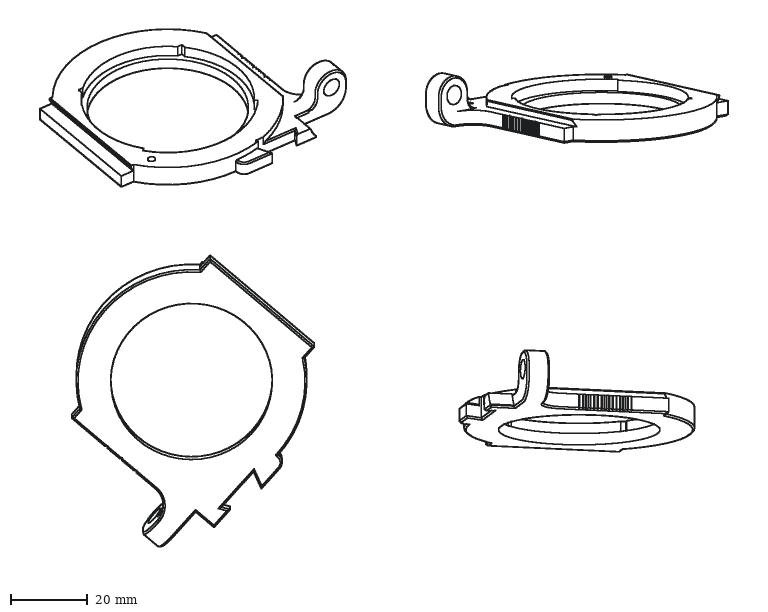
import cadquery as cq
import math

ring_diameter = 60.0
ring_radius = ring_diameter / 2
ring_height = 6.0
bore_diameter = 42.0
pocket_radius = 22.5
wide_pocket_radius = 23.5
wide_pocket_half_angle = 52.0
pocket_depth = 3.0
pocket_notch_half_size = 16.6

plate_height = 4.0
edge_chamfer = 0.5
rail_half_length = 18.0
rail_y = 28.0
scale_edge_left = -17.0

flank_top_y = 24.7
flank_tip_y = 25.0
flank_tip_drop = 0.3
flank_angle = 25.0

scale_length = 14.0
notch_count_each_side = 7
notches_per_long = 5
short_notch_depth = 0.2
long_notch_depth = 0.6
notch_angle = 60.0

lug_radius = 5.0
lug_bore_diameter = 5.0
lug_height = 13.5
lug_tip_y = 40.3
lug_left = 17.95
lug_width = 6.0
lug_heel_radius = 6.0
lug_root_radius = 3.0
web_radius = 6.0

arm_right = 30.3
arm_back_y = 25.8
knuckle_clearance_radius = 12.3
slot_wall_x = 28.2
arm_hook_root_y = 20.4
low_hook_root_y = 7.8
hook_angle = 25.0
hook_chamfer = 0.4
hook_reach = 2.7
hook_bottom_y = 0.1
hook_round = 2.6

dimple_diameter = 2.0
dimple_x = 18.85
dimple_y = -18.85

notch_pitch = scale_length / (2 * notch_count_each_side)
half_arc = math.sqrt(0.5)
lug_right = lug_left + lug_width
lug_y = lug_tip_y - lug_radius
lug_z = lug_height - lug_radius
lug_front_y = lug_y - lug_radius
lug_foot_y = lug_y - math.sqrt(knuckle_clearance_radius**2 - (lug_z - plate_height)**2)
hook_right = ring_radius + hook_reach


def block(x0, x1, y0, y1, height):
    """Box between the given X and Y limits, standing on Z = 0."""
    return cq.Workplane("XY").box(x1 - x0, y1 - y0, height, centered=False).translate((x0, y0, 0))


def web_outline():
    """Concave corner joining the scale edge to the left side of the lug."""
    corner_x = lug_left - web_radius
    corner_y = rail_y + web_radius
    reach = web_radius * half_arc
    return (
        cq.Workplane("XY")
        .moveTo(corner_x, rail_y)
        .threePointArc((corner_x + reach, corner_y - reach), (lug_left, corner_y))
        .lineTo(lug_right, corner_y)
        .lineTo(lug_right, rail_y)
        .close()
    )


def slot_outline():
    """Open slot beside the ring, flanked by the sloping faces of both hooks."""
    mouth_x = hook_right + hook_reach
    mouth_rise = (mouth_x - slot_wall_x) * math.tan(math.radians(hook_angle))
    return cq.Workplane("XY").polyline([
        (slot_wall_x, low_hook_root_y),
        (slot_wall_x, arm_hook_root_y),
        (mouth_x, arm_hook_root_y - mouth_rise),
        (mouth_x, low_hook_root_y + mouth_rise),
    ]).close()


def footprint(height):
    """Ring disc, rails, lug foot, arm and hooks, all of one height."""
    slot_middle_y = (low_hook_root_y + arm_hook_root_y) / 2
    hook = block(0, hook_right, hook_bottom_y, slot_middle_y, height)
    hook = hook.edges("|Z and >X and <Y").fillet(hook_round)
    disc = cq.Workplane("XY").circle(ring_radius).extrude(height)
    body = disc.intersect(block(-ring_radius, ring_radius, -rail_y, rail_y, height))
    body = body.union(block(-rail_half_length, rail_half_length, -rail_y, 0, height))
    body = body.union(block(scale_edge_left, lug_right, 0, rail_y, height))
    body = body.union(web_outline().extrude(height))
    body = body.union(block(lug_left, lug_right, 0, rail_y + web_radius, height))
    body = body.union(block(0, arm_right, slot_middle_y, arm_back_y, height))
    body = body.union(hook)
    return body.cut(slot_outline().extrude(height)).clean()


def base_plate():
    """Lower layer of the part with its edge chamfers and the hollow back of the arm."""
    plate = footprint(plate_height)
    plate = plate.faces("<Z").edges().chamfer(edge_chamfer)

    margin = 0.1
    slot_zone = cq.selectors.BoxSelector(
        (slot_wall_x - margin, hook_bottom_y - margin, plate_height - margin),
        (hook_right + margin, arm_hook_root_y + margin, plate_height + margin),
    )
    plate = plate.faces(">Z").edges(slot_zone).chamfer(hook_chamfer)

    clearance = (
        cq.Workplane("YZ", origin=(lug_right, lug_y, lug_z))
        .circle(knuckle_clearance_radius)
        .extrude(arm_right - lug_right)
    )
    foot_edge = (
        cq.Workplane("XZ", origin=(0, lug_foot_y, 0))
        .polyline([
            (lug_right, plate_height),
            (lug_right - edge_chamfer, plate_height),
            (lug_right, plate_height - edge_chamfer),
        ])
        .close()
        .extrude(lug_foot_y - rail_y)
    )
    return plate.cut(clearance).cut(foot_edge)


def upper_ring():
    """Ring above the plate with undercut flanks along both straight sides."""
    lip_z = ring_height - flank_tip_drop
    root_y = flank_tip_y - (lip_z - plate_height) * math.tan(math.radians(flank_angle))
    half_profile = [
        (root_y, edge_chamfer),
        (root_y, plate_height),
        (flank_tip_y, lip_z),
        (flank_top_y, ring_height),
    ]
    mirrored = [(-y, z) for y, z in reversed(half_profile)]
    flanks = (
        cq.Workplane("YZ", origin=(-ring_radius, 0, 0))
        .polyline(half_profile + mirrored)
        .close()
        .extrude(2 * ring_radius)
    )
    disc = cq.Workplane("XY").circle(ring_radius).extrude(ring_height)
    disc = disc.cut(slot_outline().extrude(ring_height))
    front = block(-rail_half_length, rail_half_length, -rail_y, 0, ring_height)
    return disc.union(front).intersect(flanks)


def hinge_lug():
    """Rounded eye on a curved neck, chamfered along both sides."""
    heel_reach = lug_heel_radius * half_arc
    heel_y = lug_tip_y - lug_heel_radius
    root_reach = lug_root_radius * half_arc
    root_y = lug_front_y - lug_root_radius
    root_z = plate_height + lug_root_radius
    lug = (
        cq.Workplane("YZ", origin=(lug_left, 0, 0))
        .moveTo(root_y, 0)
        .lineTo(heel_y, 0)
        .threePointArc((heel_y + heel_reach, lug_heel_radius - heel_reach), (lug_tip_y, lug_heel_radius))
        .lineTo(lug_tip_y, lug_z)
        .threePointArc((lug_y, lug_height), (lug_front_y, lug_z))
        .lineTo(lug_front_y, root_z)
        .threePointArc((root_y + root_reach, root_z - root_reach), (root_y, plate_height))
        .close()
        .extrude(lug_width)
    )
    lug = lug.faces("<X or >X").edges("not <Y").chamfer(edge_chamfer)
    bore = (
        cq.Workplane("YZ", origin=(lug_left, lug_y, lug_z))
        .circle(lug_bore_diameter / 2)
        .extrude(lug_width)
    )
    return lug.cut(bore)


def ring_pocket():
    """Stepped pocket, wider on the right, with two square corner notches on the left."""
    floor = cq.Workplane("XY", origin=(0, 0, ring_height - pocket_depth))
    end_x = wide_pocket_radius * math.cos(math.radians(wide_pocket_half_angle))
    end_y = wide_pocket_radius * math.sin(math.radians(wide_pocket_half_angle))
    pocket = floor.circle(pocket_radius).extrude(pocket_depth)
    sector = (
        floor.lineTo(end_x, -end_y)
        .threePointArc((wide_pocket_radius, 0), (end_x, end_y))
        .close()
        .extrude(pocket_depth)
    )
    notches = (
        floor.center(-pocket_notch_half_size / 2, 0)
        .rect(pocket_notch_half_size, 2 * pocket_notch_half_size)
        .extrude(pocket_depth)
    )
    return pocket.union(sector).union(notches)


def scale_notches():
    """V notches of a ruler scale, centred on the ring."""
    notches = cq.Workplane("XY")
    slope = math.tan(math.radians(notch_angle / 2))
    for index in range(-notch_count_each_side, notch_count_each_side + 1):
        depth = long_notch_depth if index % notches_per_long == 0 else short_notch_depth
        half_width = depth * slope
        x = index * notch_pitch
        notch = (
            cq.Workplane("XY")
            .polyline([(x - half_width, rail_y), (x, rail_y - depth), (x + half_width, rail_y)])
            .close()
            .extrude(plate_height)
        )
        notches = notches.add(notch)
    return notches.combine()


def ring_bore():
    return cq.Workplane("XY").circle(bore_diameter / 2).extrude(ring_height)


def dimple():
    """Hemispherical dimple in the top face of the ring."""
    return cq.Workplane("XY", origin=(dimple_x, dimple_y, ring_height)).sphere(dimple_diameter / 2)


result = base_plate().union(upper_ring()).union(hinge_lug())
result = result.cut(ring_pocket())
result = result.cut(ring_bore())
result = result.cut(scale_notches())
result = result.cut(dimple())